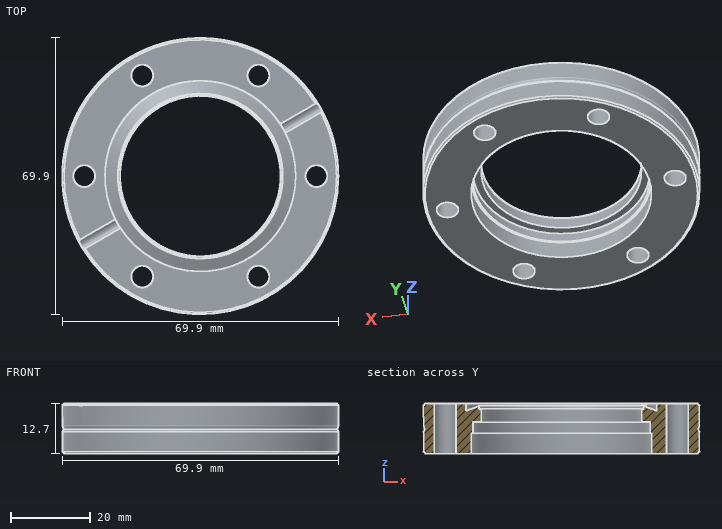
import cadquery as cq
import math

outer_radius = 34.95
thickness = 12.7
edge_chamfer = 0.5

rim_groove_depth = 0.3
rim_groove_bottom_z = 5.6
rim_groove_root_z = 6.15
rim_groove_top_z = 7.05

recess_radius = 24.1
knife_radius = 20.9
knife_depth = 0.6
knife_slope = 20.0
recess_depth = knife_depth + (recess_radius - knife_radius) * math.tan(math.radians(knife_slope))
ledge_depth = 1.4
ledge_radius = 20.75

bore_radius = 20.3
bore_length = 4.75
socket_radius = 22.4
relief_radius = 22.8
relief_start = 7.55

bolt_count = 6
bolt_circle_radius = 29.35
bolt_hole_diameter = 5.45

channel_width = 2.6
channel_depth = 0.6
channel_angle = 30.0
channel_radius = ((channel_width / 2) ** 2 + channel_depth ** 2) / (2 * channel_depth)


def flange_ring():
    """Revolve the cross-section, drawn in the XZ plane, about Z."""
    return (
        cq.Workplane("XZ")
        .moveTo(relief_radius, 0)
        .lineTo(outer_radius - edge_chamfer, 0)
        .lineTo(outer_radius, edge_chamfer)
        .lineTo(outer_radius, rim_groove_bottom_z)
        .lineTo(outer_radius - rim_groove_depth, rim_groove_root_z)
        .lineTo(outer_radius, rim_groove_top_z)
        .lineTo(outer_radius, thickness - edge_chamfer)
        .lineTo(outer_radius - edge_chamfer, thickness)
        .lineTo(recess_radius, thickness)
        .lineTo(recess_radius, thickness - recess_depth)
        .lineTo(knife_radius, thickness - knife_depth)
        .lineTo(ledge_radius, thickness - ledge_depth)
        .lineTo(bore_radius, thickness - ledge_depth)
        .lineTo(bore_radius, thickness - bore_length)
        .lineTo(socket_radius, thickness - bore_length)
        .lineTo(socket_radius, thickness - relief_start)
        .lineTo(relief_radius, thickness - relief_start)
        .close()
        .revolve(360, (0, 0, 0), (0, 1, 0))
    )


def bolt_holes():
    return (
        cq.Workplane("XY")
        .polarArray(bolt_circle_radius, 0, 360, bolt_count)
        .circle(bolt_hole_diameter / 2)
        .extrude(thickness)
    )


def leak_channel(angle):
    """Radial cylinder whose lowest line lies channel_depth below the top face."""
    channel_length = outer_radius - recess_radius + 2 * channel_width
    axis_z = thickness - channel_depth + channel_radius
    return (
        cq.Workplane("YZ", origin=(recess_radius - channel_width, 0, 0))
        .center(0, axis_z)
        .circle(channel_radius)
        .extrude(channel_length)
        .rotate((0, 0, 0), (0, 0, 1), angle)
    )


result = flange_ring().cut(bolt_holes())
for angle in (channel_angle, channel_angle + 180):
    result = result.cut(leak_channel(angle))